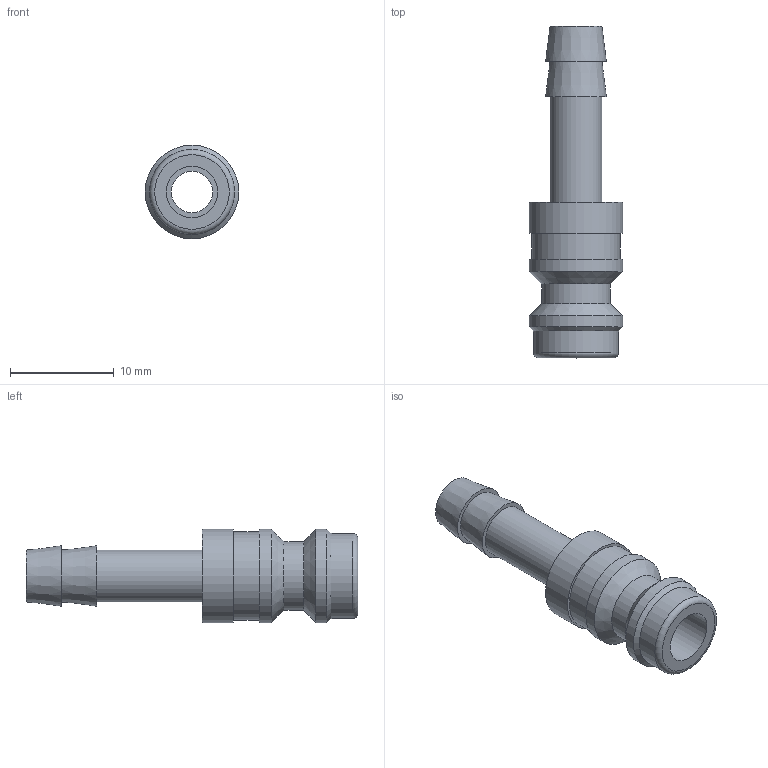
import cadquery as cq

TOTAL_LENGTH = 32.0

COLLAR_DIAMETER = 9.01
NOSE_DIAMETER = 8.2
NECK_DIAMETER = 6.65
RELIEF_DIAMETER = 8.5
STEM_DIAMETER = 5.0
BARB_TIP_DIAMETER = 5.0
BARB_CREST_DIAMETER = 5.85
BORE_DIAMETER = 4.0
PLUG_BORE_DIAMETER = 5.0

NOSE_END = 2.6
NECK_START = 5.23
NECK_END = 7.15
RELIEF_START = 9.5
RELIEF_END = 12.0
BODY_END = 15.0
PLUG_BORE_DEPTH = RELIEF_END

NOSE_FILLET = 0.5
BARB_LENGTH = 3.4
BARB_COUNT = 2


def cylinder(diameter, start, end):
    """Cylinder about the Y axis between two positions."""
    return cone(diameter, diameter, start, end)


def cone(start_diameter, end_diameter, start, end):
    """Frustum about the Y axis, or a cylinder when both diameters match."""
    profile = (
        cq.Workplane("XY")
        .moveTo(0, start)
        .lineTo(start_diameter / 2, start)
        .lineTo(end_diameter / 2, end)
        .lineTo(0, end)
        .close()
    )
    return profile.revolve(360, (0, 0, 0), (0, 1, 0))


def make_body():
    """Plug body: nose, locking ridge, neck, relief groove and collar."""
    collar_radius = COLLAR_DIAMETER / 2
    nose_radius = NOSE_DIAMETER / 2
    neck_radius = NECK_DIAMETER / 2
    relief_radius = RELIEF_DIAMETER / 2
    nose_bevel = collar_radius - nose_radius
    neck_bevel = collar_radius - neck_radius
    profile = (
        cq.Workplane("XY")
        .lineTo(nose_radius - NOSE_FILLET, 0)
        .radiusArc((nose_radius, NOSE_FILLET), -NOSE_FILLET)
        .lineTo(nose_radius, NOSE_END)
        .lineTo(collar_radius, NOSE_END + nose_bevel)
        .lineTo(collar_radius, NECK_START - neck_bevel)
        .lineTo(neck_radius, NECK_START)
        .lineTo(neck_radius, NECK_END)
        .lineTo(collar_radius, NECK_END + neck_bevel)
        .lineTo(collar_radius, RELIEF_START)
        .lineTo(relief_radius, RELIEF_START)
        .lineTo(relief_radius, RELIEF_END)
        .lineTo(collar_radius, RELIEF_END)
        .lineTo(collar_radius, BODY_END)
        .lineTo(0, BODY_END)
        .close()
    )
    return profile.revolve(360, (0, 0, 0), (0, 1, 0))


def make_hose_tail():
    """Plain stem ending in a row of tapered barbs."""
    tail = cylinder(STEM_DIAMETER, BODY_END, TOTAL_LENGTH)
    for index in range(BARB_COUNT):
        tip = TOTAL_LENGTH - index * BARB_LENGTH
        tail = tail.union(cone(BARB_CREST_DIAMETER, BARB_TIP_DIAMETER, tip - BARB_LENGTH, tip))
    return tail


def make_bore():
    """Through bore, widened from the plug face."""
    through_bore = cylinder(BORE_DIAMETER, 0, TOTAL_LENGTH)
    plug_bore = cylinder(PLUG_BORE_DIAMETER, 0, PLUG_BORE_DEPTH)
    return through_bore.union(plug_bore)


result = make_body().union(make_hose_tail()).cut(make_bore())